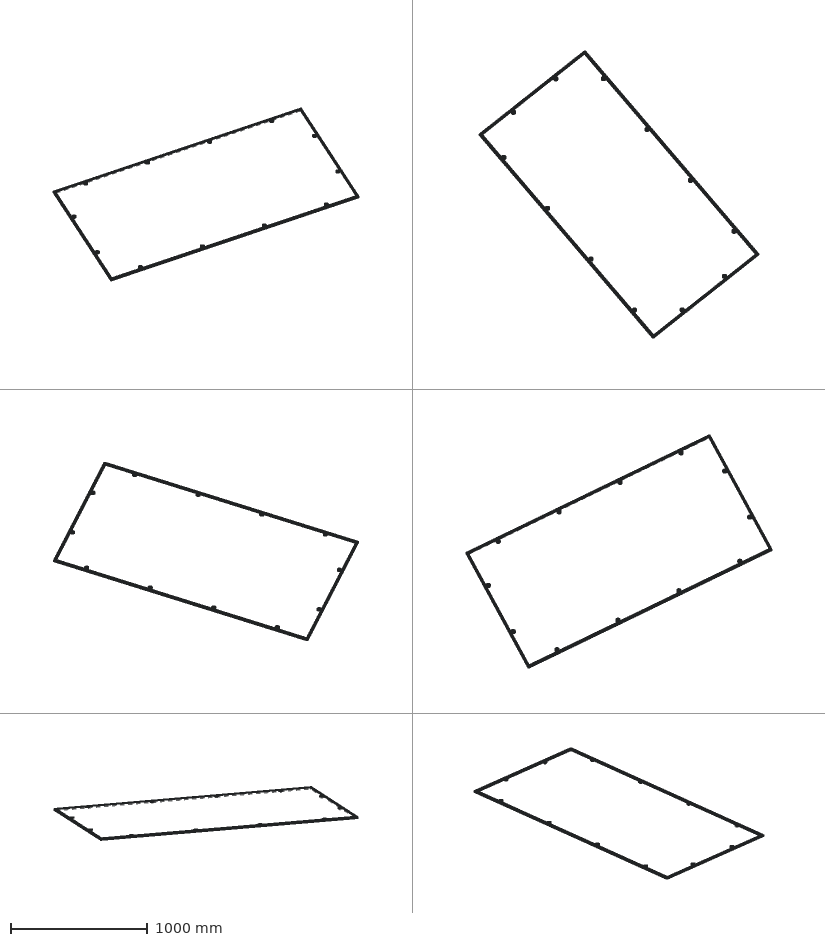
import cadquery as cq

width = 998.95
length = 1997.0
height = 11.65

side_edge_z = 5.0

end_chamfer = 3.0

rail_width = 14.0
rail_step = 1.0
skin_top = height - rail_step

skin_thickness = 0.8
side_border = rail_width
end_border = 11.0

countersink_diameter = 25.0
countersink_floor_diameter = 12.0
countersink_depth = 7.0
screw_hole_diameter = 6.0
cup_wall = skin_thickness
cup_foot_radius = screw_hole_diameter / 2 + 2 * cup_wall

side_screw_x = 470.5
side_screw_pitch = 500.0
side_screw_count = 4
end_screw_y = 970.0
end_screw_pitch = 400.0
end_screw_count = 2


def centred_row(count, pitch):
    """Coordinates of an evenly spaced row centred on zero."""
    return [(i - (count - 1) / 2) * pitch for i in range(count)]


def screw_positions():
    """Screw centres along all four edges."""
    points = []
    for side in (-1, 1):
        for y in centred_row(side_screw_count, side_screw_pitch):
            points.append((side * side_screw_x, y))
        for x in centred_row(end_screw_count, end_screw_pitch):
            points.append((x, side * end_screw_y))
    return points


def make_blank():
    """Full-height panel with pointed long sides and chamfered ends."""
    half_width = width / 2
    half_top = half_width - (height - side_edge_z)
    half_bottom = half_width - side_edge_z
    profile = [
        (-half_bottom, 0),
        (half_bottom, 0),
        (half_width, side_edge_z),
        (half_top, height),
        (-half_top, height),
        (-half_width, side_edge_z),
    ]
    blank = cq.Workplane("XZ").polyline(profile).close().extrude(length / 2, both=True)
    return blank.edges("|X and (>Z or <Z)").chamfer(end_chamfer)


def make_top_recess():
    """Shallow step between the two rails, running out through both ends."""
    recess = cq.Workplane("XY").workplane(offset=skin_top)
    return recess.rect(width - 2 * rail_width, length).extrude(rail_step)


def make_underside_pocket():
    """Pocket that leaves the thin top skin and a solid border."""
    pocket_height = skin_top - skin_thickness
    pocket = cq.Workplane("XY").rect(width - 2 * side_border, length - 2 * end_border)
    return pocket.extrude(pocket_height)


def revolve_at(profile, position):
    """Revolve a (radius, z) profile about a vertical axis at the given XY position."""
    outline = cq.Workplane("XZ").polyline(profile).close()
    return outline.revolve(360, (0, 0, 0), (0, 1, 0)).translate((*position, 0))


def make_cup(position):
    """Tapered body that surrounds one countersunk screw hole."""
    rim_radius = countersink_diameter / 2 + cup_wall
    waist_radius = countersink_floor_diameter / 2 + cup_wall
    profile = [
        (0, 0),
        (cup_foot_radius, 0),
        (waist_radius, skin_top - countersink_depth - cup_wall),
        (rim_radius, skin_top - cup_wall),
        (rim_radius, skin_top),
        (0, skin_top),
    ]
    return revolve_at(profile, position)


def make_screw_cut(position):
    """Countersink with a flat seat and a straight hole through its floor."""
    seat_z = skin_top - countersink_depth
    profile = [
        (0, 0),
        (screw_hole_diameter / 2, 0),
        (screw_hole_diameter / 2, seat_z),
        (countersink_floor_diameter / 2, seat_z),
        (countersink_diameter / 2, skin_top),
        (0, skin_top),
    ]
    return revolve_at(profile, position)


result = make_blank().cut(make_top_recess()).cut(make_underside_pocket())
for screw_position in screw_positions():
    result = result.union(make_cup(screw_position))
    result = result.cut(make_screw_cut(screw_position))